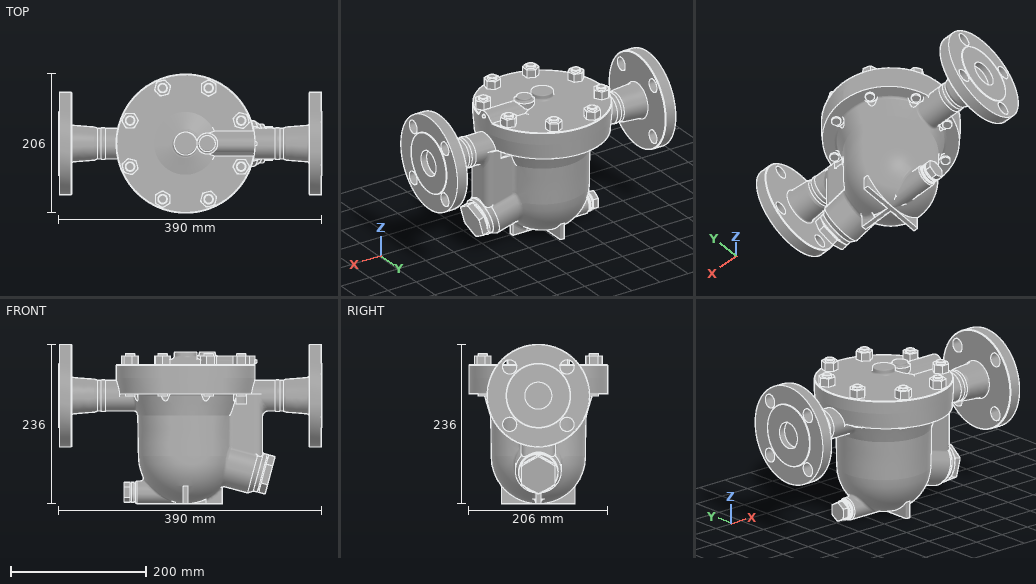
import cadquery as cq
import math


cover_diameter = 206
cover_radius = cover_diameter / 2
cover_top_z = 46
joint_z = 26
cover_edge_chamfer = 1
body_flange_bottom_z = 2.5
body_flange_bottom_x_radius = 100.2
body_flange_rim_height = 2.5

neck_top_radius = 80.5
neck_bottom_z = -30
neck_fillet = 3
barrel_top_radius = 71
dome_radius = 70
dome_center_z = -90
base_z = dome_center_z - dome_radius

cover_cone_radius = 46.5
cover_cone_top_radius = 21.5
cover_cone_top_z = 54.2
boss_top_z = 64.7
boss_edge_radius = 2
central_boss_diameter = 34
side_boss_diameter = 24
side_boss_x = 32
side_boss_foot_z = 59
central_boss_flare = 4.5
side_boss_flare = 3.5
duct_radius = 15
duct_axis_z = 43.8
duct_flank_top_z = 51.3
duct_foot_half_width = 18.4
duct_end_x = 103
duct_tip_radius = 3
duct_tip_z = 50.7

stud_count = 8
stud_circle_radius = 89
stud_diameter = 14
stud_bottom_z = -0.5
stud_top_z = 62.7
stud_end_chamfer = 1
nut_across_flats = 21.5
nut_top_z = 59
nut_turn = 22.5
spotface_diameter = 23
spotface_depth = 15

overall_length = 390
inlet_face_x = -188
pipe_middle_x = inlet_face_x + overall_length / 2
pipe_radius = 23
raised_face_radius = 47.75
raised_face_height = 1
raised_face_bevel = 0.7
flange_radius = 76
flange_thickness = 18.5
flange_chamfer = 1
hub_foot_radius = 29
hub_foot_fillet = 2.5
hub_radius = 27.2
weld_neck_radius = 49.5 / 2
weld_neck_distance = 142
weld_bevel_distance = 137.5
weld_bead_outer_distance = 132.5
weld_bead_inner_distance = 125.5
weld_bead_height = 0.8
bore_diameter = 40
bore_depth = 10
inlet_fillet = 3.5
inlet_seam_outer_x = 95
inlet_seam_inner_x = 60
flange_hole_count = 4
flange_hole_circle = 120
flange_hole_diameter = 21
flange_hole_start_angle = 45

passage_half_width = 25.5
passage_end_x = 114
passage_corner_radius = 13
passage_bottom_z = -95
passage_pipe_fillet = 8

strainer_tilt = 15
strainer_head_x = 125.2
strainer_head_z = -117.9
strainer_radius = 34
strainer_length = 90
strainer_bevel_start = 25.7
strainer_bevel_end = 18.2
strainer_bevel_radius = 29.5
strainer_collar_diameter = 58
strainer_head_thickness = 10
strainer_head_across_flats = 50
strainer_neck_diameter = 49.5
strainer_gap = 2
strainer_body_fillet = 7
strainer_passage_fillet = 7

drain_diameter = 34
drain_axis_z = base_z + drain_diameter / 2
drain_end_x = -72
drain_bevel_x = -74.3
drain_bevel_radius = 15.5
drain_neck_diameter = 28
drain_washer_diameter = 30
drain_washer_outer_x = -80
drain_washer_inner_x = -76.5
drain_head_inner_x = -82
drain_head_outer_x = -91.2
drain_head_across_flats = 26
drain_fillet = 4
drain_blend_x = -20

rib_thickness = 7.5
rib_reach = 54.5
rib_top_z = -130
rib_edge_radius = 1
rib_fillet = 6
rib_blend_x = 30

head_corner_bevel = 1
selection_margin = 0.1


def arc_inset(radius):
    """Distance from a rounded corner's tangent line to the middle of its quarter arc."""
    return radius * (1 - math.sqrt(0.5))


def edges_within(shape, low, high):
    """Edges whose centres lie in the box between two opposite corners."""
    return shape.edges(cq.selectors.BoxSelector(low, high))


def beyond_x(start_x, end_x):
    """Tall, wide block between two X positions, for trimming shapes."""
    return (
        cq.Workplane("YZ", origin=(start_x, 0, 0))
        .rect(overall_length, overall_length).extrude(end_x - start_x)
    )


def hexagon(across_flats):
    """Diameter of the circle through the corners of a hexagon."""
    return across_flats / math.cos(math.radians(30))


def hex_head(across_flats, thickness):
    """Hexagonal head along +Z with its corners bevelled on the outer face."""
    corner_diameter = hexagon(across_flats)
    head = cq.Workplane("XY").polygon(6, corner_diameter).extrude(thickness)
    envelope = (
        cq.Workplane("XY").circle(corner_diameter / 2).extrude(thickness)
        .faces(">Z").chamfer(head_corner_bevel / 2, head_corner_bevel)
    )
    return head.intersect(envelope)


def make_body_flange():
    """Body flange, round at the joint and narrowing along X to an oval rim at the bottom."""
    rim_top_z = body_flange_bottom_z + body_flange_rim_height
    taper = (
        cq.Workplane("XY").workplane(offset=rim_top_z)
        .ellipse(body_flange_bottom_x_radius, cover_radius)
        .workplane(offset=joint_z - rim_top_z)
        .circle(cover_radius)
        .loft(ruled=True)
    )
    rim = (
        cq.Workplane("XY").workplane(offset=body_flange_bottom_z)
        .ellipse(body_flange_bottom_x_radius, cover_radius)
        .extrude(body_flange_rim_height)
    )
    return taper.union(rim)


def make_body():
    """Turned neck, barrel and dome under the body flange."""
    slope = (neck_top_radius - barrel_top_radius) / (body_flange_bottom_z - neck_bottom_z)
    neck_z = body_flange_bottom_z - neck_fillet
    neck_radius = neck_top_radius - slope * neck_fillet
    bend = arc_inset(neck_fillet)
    diagonal = dome_radius * math.sqrt(0.5)
    turned = (
        cq.Workplane("XZ")
        .moveTo(0, joint_z)
        .lineTo(neck_top_radius + neck_fillet, joint_z)
        .lineTo(neck_top_radius + neck_fillet, body_flange_bottom_z)
        .threePointArc(
            (neck_top_radius + bend - slope * bend, body_flange_bottom_z - bend),
            (neck_radius, neck_z),
        )
        .lineTo(barrel_top_radius, neck_bottom_z)
        .lineTo(dome_radius, dome_center_z)
        .threePointArc((diagonal, dome_center_z - diagonal), (0, base_z))
        .close()
        .revolve(360, (0, 0, 0), (0, 1, 0))
    )
    return turned.union(make_body_flange())


def make_boss(radius, foot_z, flare):
    """Round boss on the cover: flared foot and rounded top edge."""
    foot_radius = radius + flare
    bend = arc_inset(flare)
    edge_bend = arc_inset(boss_edge_radius)
    return (
        cq.Workplane("XZ")
        .moveTo(0, cover_top_z)
        .lineTo(foot_radius, cover_top_z)
        .lineTo(foot_radius, foot_z)
        .threePointArc((radius + bend, foot_z + bend), (radius, foot_z + flare))
        .lineTo(radius, boss_top_z - boss_edge_radius)
        .threePointArc(
            (radius - edge_bend, boss_top_z - edge_bend),
            (radius - boss_edge_radius, boss_top_z),
        )
        .lineTo(0, boss_top_z)
        .close()
        .revolve(360, (0, 0, 0), (0, 1, 0))
    )


def make_duct():
    """Round-topped duct on the cover with sloping flanks and a small tip at its end."""
    shoulder_y = math.sqrt(duct_radius ** 2 - (duct_flank_top_z - duct_axis_z) ** 2)
    duct = (
        cq.Workplane("YZ", origin=(side_boss_x, 0, 0))
        .moveTo(-duct_foot_half_width, joint_z)
        .lineTo(duct_foot_half_width, joint_z)
        .lineTo(duct_foot_half_width, cover_top_z)
        .lineTo(shoulder_y, duct_flank_top_z)
        .threePointArc((0, duct_axis_z + duct_radius), (-shoulder_y, duct_flank_top_z))
        .lineTo(-duct_foot_half_width, cover_top_z)
        .close()
        .extrude(duct_end_x - side_boss_x)
    )
    rim = cq.Workplane("XY").workplane(offset=joint_z).circle(cover_radius).extrude(boss_top_z)
    tip = cq.Workplane("XY").sphere(duct_tip_radius).translate((duct_end_x, 0, duct_tip_z))
    return duct.intersect(rim).union(tip)


def make_cover():
    """Cover disc with its low cone, two bosses and duct."""
    disc = (
        cq.Workplane("XY").workplane(offset=joint_z)
        .circle(cover_radius).extrude(cover_top_z - joint_z)
        .faces(">Z").chamfer(cover_edge_chamfer)
    )
    cone = cq.Workplane(
        cq.Solid.makeCone(
            cover_cone_radius,
            cover_cone_top_radius,
            cover_cone_top_z - cover_top_z,
            cq.Vector(0, 0, cover_top_z),
        )
    )
    central_boss = make_boss(central_boss_diameter / 2, cover_cone_top_z, central_boss_flare)
    side_boss = make_boss(side_boss_diameter / 2, side_boss_foot_z, side_boss_flare)
    side_boss = side_boss.translate((side_boss_x, 0, 0))
    return disc.union(cone).union(make_duct()).union(side_boss).union(central_boss)


def stud_angles():
    """Angles of the studs, straddling the X and Y axes."""
    pitch = 360 / stud_count
    return [pitch * (index + 0.5) for index in range(stud_count)]


def at_stud(shape, angle):
    """Move a shape on the Z axis out to one stud position."""
    return shape.translate((stud_circle_radius, 0, 0)).rotate((0, 0, 0), (0, 0, 1), angle)


def make_stud():
    """Stud with its nut, on the Z axis."""
    stud = (
        cq.Workplane("XY").workplane(offset=stud_bottom_z)
        .circle(stud_diameter / 2).extrude(stud_top_z - stud_bottom_z)
        .faces(">Z").chamfer(stud_end_chamfer)
    )
    nut = (
        hex_head(nut_across_flats, nut_top_z - cover_top_z)
        .rotate((0, 0, 0), (0, 0, 1), nut_turn)
        .translate((0, 0, cover_top_z))
    )
    return stud.union(nut)


def make_spotface():
    """Cutter clearing a flat under the body flange around a stud."""
    return (
        cq.Workplane("XY").workplane(offset=body_flange_bottom_z)
        .circle(spotface_diameter / 2).extrude(-spotface_depth)
    )


def make_pipe_end(inner_distance):
    """Flanged pipe end along +X, measured from the middle of the pipe run."""
    face = overall_length / 2
    flange_front = face - raised_face_height
    flange_back = flange_front - flange_thickness
    bead_middle = (weld_bead_outer_distance + weld_bead_inner_distance) / 2
    bend = arc_inset(hub_foot_fillet)
    turned = (
        cq.Workplane("XY")
        .moveTo(inner_distance, 0)
        .lineTo(inner_distance, pipe_radius)
        .lineTo(weld_bead_inner_distance, pipe_radius)
        .threePointArc(
            (bead_middle, pipe_radius + weld_bead_height),
            (weld_bead_outer_distance, pipe_radius),
        )
        .lineTo(weld_bevel_distance, pipe_radius)
        .lineTo(weld_neck_distance, weld_neck_radius)
        .lineTo(flange_back - hub_foot_fillet, hub_radius)
        .threePointArc((flange_back - bend, hub_radius + bend), (flange_back, hub_foot_radius))
        .lineTo(flange_back, flange_radius - flange_chamfer)
        .lineTo(flange_back + flange_chamfer, flange_radius)
        .lineTo(flange_front, flange_radius)
        .lineTo(flange_front, raised_face_radius)
        .lineTo(face, raised_face_radius - raised_face_bevel)
        .lineTo(face, 0)
        .close()
        .revolve(360, (0, 0, 0), (1, 0, 0))
    )
    bore = (
        cq.Workplane("YZ", origin=(face, 0, 0))
        .circle(bore_diameter / 2).extrude(-bore_depth)
    )
    holes = (
        cq.Workplane("YZ", origin=(face, 0, 0))
        .polarArray(flange_hole_circle / 2, flange_hole_start_angle, 360, flange_hole_count)
        .circle(flange_hole_diameter / 2)
        .extrude(-(raised_face_height + flange_thickness))
    )
    return turned.cut(bore).cut(holes)


def make_inlet():
    """Inlet pipe end on the -X side."""
    return make_pipe_end(pipe_middle_x).mirror("YZ").translate((pipe_middle_x, 0, 0))


def make_outlet():
    """Outlet pipe end blended into the passage block that leads down to the strainer."""
    pipe = make_pipe_end(-pipe_middle_x).translate((pipe_middle_x, 0, 0))
    block = (
        cq.Workplane("XY").workplane(offset=passage_bottom_z)
        .center(passage_end_x / 2, 0)
        .rect(passage_end_x, 2 * passage_half_width)
        .extrude(body_flange_bottom_z - passage_bottom_z)
        .edges("|Z and >X").fillet(passage_corner_radius)
    )
    seam = edges_within(
        block.union(pipe),
        (passage_end_x - passage_corner_radius, -pipe_radius, -pipe_radius),
        (passage_end_x + 1, pipe_radius, 0),
    )
    return seam.edges("%BSPLINE or %CIRCLE").fillet(passage_pipe_fillet)


def make_strainer():
    """Strainer boss and plug collar along +Z, with the outer face of the plug head at Z = 0."""
    collar_radius = strainer_collar_diameter / 2
    collar_end = -strainer_head_thickness - strainer_gap
    return (
        cq.Workplane("XZ")
        .moveTo(0, -strainer_length)
        .lineTo(strainer_radius, -strainer_length)
        .lineTo(strainer_radius, -strainer_bevel_start)
        .lineTo(strainer_bevel_radius, -strainer_bevel_end)
        .lineTo(collar_radius, -strainer_bevel_end)
        .lineTo(collar_radius, collar_end)
        .lineTo(0, collar_end)
        .close()
        .revolve(360, (0, 0, 0), (0, 1, 0))
    )


def make_strainer_plug():
    """Plug neck and hexagonal head, with the outer face of the head at Z = 0."""
    neck = (
        cq.Workplane("XY").workplane(offset=-strainer_head_thickness)
        .circle(strainer_neck_diameter / 2).extrude(-strainer_gap)
    )
    head = (
        hex_head(strainer_head_across_flats, strainer_head_thickness)
        .translate((0, 0, -strainer_head_thickness))
    )
    return neck.union(head)


def place_strainer(shape):
    """Turn the strainer axis from +Z to its tilt below +X and move it to the head."""
    return (
        shape.rotate((0, 0, 0), (0, 1, 0), 90 + strainer_tilt)
        .translate((strainer_head_x, 0, strainer_head_z))
    )


def make_drain():
    """Drain boss on the -X side."""
    return (
        cq.Workplane("XY")
        .moveTo(0, 0)
        .lineTo(0, drain_diameter / 2)
        .lineTo(drain_end_x, drain_diameter / 2)
        .lineTo(drain_bevel_x, drain_bevel_radius)
        .lineTo(drain_bevel_x, 0)
        .close()
        .revolve(360, (0, 0, 0), (1, 0, 0))
        .translate((0, 0, drain_axis_z))
    )


def make_drain_plug():
    """Drain plug: neck, washer and hexagonal head."""
    neck = (
        cq.Workplane("YZ", origin=(drain_bevel_x, 0, drain_axis_z))
        .circle(drain_neck_diameter / 2).extrude(drain_head_inner_x - drain_bevel_x)
    )
    washer = (
        cq.Workplane("YZ", origin=(drain_washer_inner_x, 0, drain_axis_z))
        .circle(drain_washer_diameter / 2)
        .extrude(drain_washer_outer_x - drain_washer_inner_x)
    )
    head = (
        hex_head(drain_head_across_flats, drain_head_inner_x - drain_head_outer_x)
        .rotate((0, 0, 0), (0, 1, 0), -90)
        .translate((drain_head_inner_x, 0, drain_axis_z))
    )
    return neck.union(washer).union(head)


def make_ribs():
    """Support ribs under the dome: one across Y and one toward +X."""
    height = rib_top_z - base_z
    cross = cq.Workplane("XY").box(
        rib_thickness, 2 * rib_reach, height, centered=(True, True, False)
    )
    toward_x = cq.Workplane("XY").box(
        rib_reach, rib_thickness, height, centered=(False, True, False)
    )
    cross = cross.edges("|Z").fillet(rib_edge_radius)
    return cross.union(toward_x).translate((0, 0, base_z))


def add_inlet(body):
    """Join the inlet pipe end to the body and fillet it under the flange and on the neck."""
    joined = body.union(make_inlet())
    half = pipe_radius + selection_margin
    seam = edges_within(
        joined,
        (-inlet_seam_outer_x, -half, neck_bottom_z),
        (-inlet_seam_inner_x, half, body_flange_bottom_z + selection_margin),
    )
    return seam.fillet(inlet_fillet)


def add_drain(body):
    """Join the drain boss to the body, blended into the side of the dome."""
    drain = make_drain()
    side = make_body().union(drain).intersect(beyond_x(drain_blend_x, -overall_length))
    seam = edges_within(
        side,
        (drain_end_x, -drain_diameter, base_z),
        (drain_blend_x, drain_diameter, base_z + drain_diameter),
    )
    blended = seam.edges("%BSPLINE").fillet(drain_fillet)
    joined = body.union(drain)
    return joined.union(blended.cut(make_body().union(drain)))


def add_strainer(body):
    """Join the strainer boss and the outlet, filleting boss to body and boss to passage."""
    joined = body.union(place_strainer(make_strainer()))
    seam = edges_within(
        joined,
        (passage_half_width, -strainer_radius, base_z),
        (barrel_top_radius, strainer_radius, neck_bottom_z),
    )
    filleted = seam.edges("%BSPLINE").fillet(strainer_body_fillet)
    with_outlet = filleted.union(make_outlet())
    flank = passage_half_width + selection_margin
    flat_end_x = passage_end_x - passage_corner_radius - selection_margin
    corner = edges_within(
        with_outlet,
        (barrel_top_radius, -flank, dome_center_z),
        (flat_end_x, flank, neck_bottom_z - inlet_fillet),
    )
    return corner.edges("%LINE").fillet(strainer_passage_fillet)


def add_ribs(body):
    """Join the support ribs, blending the +X rib into the dome."""
    ribs = make_ribs()
    side = make_body().union(ribs).intersect(beyond_x(rib_blend_x, overall_length))
    half = rib_thickness / 2 + selection_margin
    seam = edges_within(side, (rib_blend_x, -half, base_z + 1), (rib_reach, half, rib_top_z))
    blended = seam.edges("%CIRCLE").fillet(rib_fillet)
    joined = body.union(ribs)
    return joined.union(blended.cut(make_body().union(ribs)))


result = add_drain(make_body())
result = add_strainer(result)
result = add_inlet(result)
for angle in stud_angles():
    result = result.cut(at_stud(make_spotface(), angle))
result = add_ribs(result)
result = result.union(make_cover())
for angle in stud_angles():
    result = result.union(at_stud(make_stud(), angle))
result = result.union(place_strainer(make_strainer_plug()))
result = result.union(make_drain_plug())